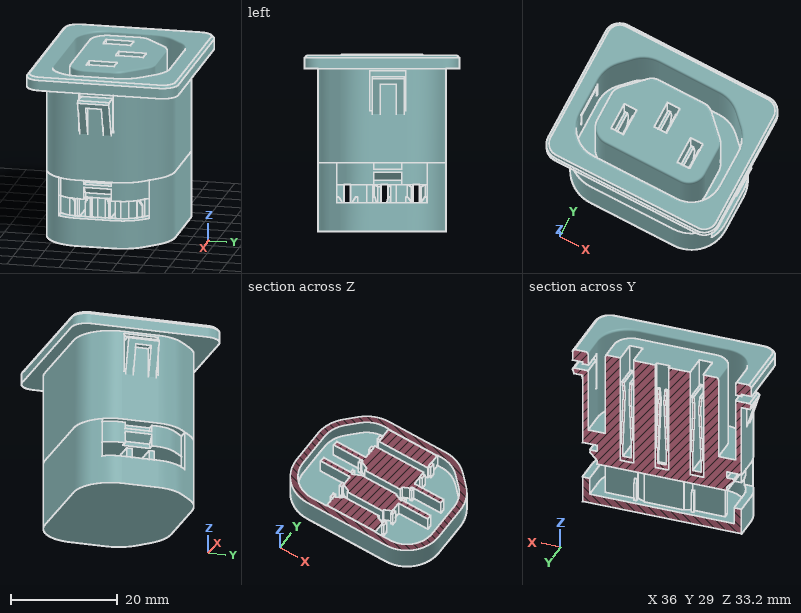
import cadquery as cq

body_length = 32.0
body_width = 24.0
body_lower_radius = 7.2
body_upper_radius = 7.6
body_corner_cut = 6.5
wall = 1.2
flange_length = 36.0
flange_width = 29.0
flange_corner_radius = 3.0
flange_chamfer = 0.5
flange_bottom = 30.5
flange_top = 33.0
split_height = 12.9
recess_floor = 16.0
edge_fillet = 0.5

boss_length = 22.8
boss_width = 15.6
boss_corner_cut = 5.45
boss_lower_radius = 3.5
boss_upper_radius = 2.8
boss_top = 33.2

slot_length = 2.6
slot_width = 5.3
slot_bottom = 10.8
slot_centers = [(-7.0, -2.0), (0.0, 2.0), (7.0, -2.0)]
contact_width = 4.9
contact_top = 28.0
contact_pinch_height = 25.5
contact_base_height = 1.0
contact_straight_top = 14.0
leaf_thickness = 0.5
pinch_gap = 0.65
mouth_gap = 1.1

latch_center_y = -1.15
latch_width = 6.0
latch_top = 28.95
latch_bottom = 22.0
latch_reach = 2.0
latch_edge_chamfer = 0.4
latch_notch_width = 3.0
latch_notch_top = 27.6
window_center_y = -1.05
window_width = 6.7
window_bottom = 22.6
window_top = 30.1

skirt_inset = 1.5
skirt_bottom = 8.8
snap_center_y = -1.1
snap_width = 5.25
snap_depth = 1.4
snap_bar_top = 11.7
snap_bar_bottom = 11.1
snap_ramp_bottom = 9.65

cap_wall = skirt_inset
cap_floor = 2.0
notch_bottom = 5.45
notch_width = 16.9
block_length = 11.0
wire_slot_width = 1.2
wire_slot_centers = [6.5, -0.45, -6.4]
funnel_centers = [-0.2, -6.4]
funnel_mouth_width = 3.3
funnel_throat_width = 1.9
funnel_roof_drop = 0.4
funnel_depth = 1.5
rib_width = 1.05
rib_centers = [2.28, -2.13]
rib_end = 12.05
cradle_thickness = 0.5
cradle_top = 6.5
cradle_ramp_bottom = 5.6
cradle_round = 0.2
cradle_crest = 0.4
cradles = [(6.5, 1.0, 2.0), (0.08, 1.0, 1.65), (-6.4, 1.0, 2.0)]

SIDES = (-1, 1)

pick_margin = 0.1


def box(x_range, y_range, z_range):
    """Box between the given limits along each axis."""
    size = [high - low for low, high in (x_range, y_range, z_range)]
    low_corner = (x_range[0], y_range[0], z_range[0])
    return cq.Workplane("XY").box(*size, centered=False).translate(low_corner)


def span(center, width):
    """Lower and upper limit of a width about a center."""
    return (center - width / 2, center + width / 2)


def cut_corner_prism(length, width, corner_cut, lower_radius, upper_radius, bottom, top):
    """Rounded prism whose two +Y corners are cut off at 45 degrees."""
    x = length / 2
    y = width / 2
    outline = [
        (-x, -y), (x, -y),
        (x, y - corner_cut), (x - corner_cut, y),
        (-x + corner_cut, y), (-x, y - corner_cut),
    ]
    prism = cq.Workplane("XY").workplane(offset=bottom).polyline(outline).close().extrude(top - bottom)
    prism = prism.edges("|Z and <Y").fillet(lower_radius)
    upper_edges = cq.selectors.BoxSelector(
        (-length, y - corner_cut - pick_margin, bottom), (length, width, top)
    )
    return prism.edges("|Z").edges(upper_edges).fillet(upper_radius)


def body_prism(bottom, top):
    """Prism with the full outline of the housing."""
    return cut_corner_prism(
        body_length, body_width, body_corner_cut, body_lower_radius, body_upper_radius, bottom, top
    )


def inset_prism(inset, bottom, top):
    """Prism with the housing outline moved inward by an inset."""
    return (
        body_prism(bottom, top).faces("<Z").wires().toPending()
        .workplane(origin=(0, 0, bottom), invert=True)
        .offset2D(-inset).extrude(top - bottom, combine=False)
    )


def make_shell():
    """Flanged housing shell with the connector recess."""
    flange = (
        cq.Workplane("XY").workplane(offset=flange_bottom)
        .rect(flange_length, flange_width).extrude(flange_top - flange_bottom)
        .edges("|Z").fillet(flange_corner_radius)
        .faces(">Z").edges().chamfer(flange_chamfer)
    )
    shell = body_prism(split_height, flange_top).union(flange)
    shell = shell.cut(inset_prism(wall, recess_floor, flange_top))
    rim = cq.selectors.BoxSelector(
        (-body_length / 2, -body_width / 2, flange_top - pick_margin),
        (body_length / 2, body_width / 2, flange_top + pick_margin),
        boundingbox=True,
    )
    return shell.edges(rim).fillet(edge_fillet)


def make_boss():
    """Plug boss with a rounded top edge."""
    boss = cut_corner_prism(
        boss_length, boss_width, boss_corner_cut, boss_lower_radius, boss_upper_radius, recess_floor, boss_top
    )
    return boss.faces(">Z").edges().fillet(edge_fillet)


def make_latch():
    """Spring latch on the -X wall: an arm in the wall with a notched wedge outside."""
    outer_x = -body_length / 2
    tip_x = outer_x - latch_reach
    inner_x = outer_x + wall
    profile = [
        (inner_x, latch_bottom),
        (outer_x, latch_bottom),
        (tip_x, latch_top - latch_edge_chamfer),
        (tip_x + latch_edge_chamfer, latch_top),
        (inner_x, latch_top),
    ]
    latch = (
        cq.Workplane("XZ").polyline(profile).close().extrude(latch_width / 2, both=True)
        .translate((0, latch_center_y, 0))
    )
    notch = box((tip_x, outer_x), span(latch_center_y, latch_notch_width), (latch_bottom, latch_notch_top))
    return latch.cut(notch)


def make_window():
    """Opening through the -X wall that frees the latch."""
    outer_x = -body_length / 2
    return box((outer_x, outer_x + wall), span(window_center_y, window_width), (window_bottom, window_top))


def make_snap_recesses():
    """Recesses above and below the snap bar on the -X side of the skirt."""
    outer_x = -body_length / 2 + skirt_inset
    inner_x = outer_x + snap_depth
    upper = box((outer_x, inner_x), span(snap_center_y, snap_width), (snap_bar_top, split_height))
    ramp = [
        (outer_x, snap_bar_bottom),
        (inner_x, snap_ramp_bottom),
        (inner_x, skirt_bottom),
        (outer_x, skirt_bottom),
    ]
    lower = (
        cq.Workplane("XZ").polyline(ramp).close().extrude(snap_width / 2, both=True)
        .translate((0, snap_center_y, 0))
    )
    return upper.union(lower)


def make_funnel(y, side):
    """Lead-in of a wire slot: its side walls and its roof close in toward the throat."""
    mouth_x = side * block_length / 2
    throat_x = mouth_x - side * funnel_depth
    plan = [
        (mouth_x, y - funnel_mouth_width / 2),
        (mouth_x, y + funnel_mouth_width / 2),
        (throat_x, y + funnel_throat_width / 2),
        (throat_x, y - funnel_throat_width / 2),
    ]
    elevation = [
        (mouth_x, cap_floor),
        (mouth_x, skirt_bottom),
        (throat_x, skirt_bottom - funnel_roof_drop),
        (throat_x, cap_floor),
    ]
    walls = (
        cq.Workplane("XY").workplane(offset=cap_floor)
        .polyline(plan).close().extrude(skirt_bottom - cap_floor)
    )
    roof = cq.Workplane("XZ").polyline(elevation).close().extrude(body_width / 2, both=True)
    return walls.intersect(roof)


def make_wire_block():
    """Block under the skirt with wire slots along X and a rib at each side of the middle slot."""
    heights = (cap_floor, skirt_bottom)
    half_block = block_length / 2
    block = inset_prism(skirt_inset, *heights).intersect(
        box((-half_block, half_block), (-body_width, body_width), heights)
    )
    for y in wire_slot_centers:
        block = block.cut(box((-half_block, half_block), span(y, wire_slot_width), heights))
    for y in funnel_centers:
        for side in SIDES:
            block = block.cut(make_funnel(y, side))
    for y in rib_centers:
        for x_range in ((-rib_end, -half_block), (half_block, rib_end)):
            block = block.union(box(x_range, span(y, rib_width), heights))
    return block


def make_housing():
    """Complete front housing."""
    housing = make_shell().union(make_boss())
    skirt = inset_prism(skirt_inset, skirt_bottom, split_height)
    window = make_window()
    latch = make_latch()
    recesses = make_snap_recesses()
    for mirrored in (False, True):
        if mirrored:
            window, latch, recesses = (part.mirror("YZ") for part in (window, latch, recesses))
        housing = housing.cut(window).union(latch)
        skirt = skirt.cut(recesses)
    housing = housing.union(skirt).union(make_wire_block())
    for x, y in slot_centers:
        housing = housing.cut(box(span(x, slot_length), span(y, slot_width), (slot_bottom, boss_top)))
    return housing


def make_cradle_post(center_y, gap_half, outer_half, y_side, x_side):
    """One post of a wire cradle, standing against the wire block."""
    profile = [
        (gap_half, cap_floor),
        (gap_half, cradle_ramp_bottom),
        (outer_half - cradle_crest, cradle_top),
        (outer_half, cradle_top),
        (outer_half, cap_floor),
    ]
    points = [(center_y + y_side * y, z) for y, z in profile]
    post = cq.Workplane("YZ").polyline(points).close().extrude(cradle_thickness)
    post = post.faces(">Z").edges("|X").fillet(cradle_round)
    start_x = block_length / 2 if x_side > 0 else -block_length / 2 - cradle_thickness
    return post.translate((start_x, 0, 0))


def make_cap():
    """Rear cap: a cup with a notch in each end wall and wire cradles on its floor."""
    cap = body_prism(0, split_height).cut(inset_prism(cap_wall, cap_floor, split_height))
    notch = box((-body_length, body_length), span(0, notch_width), (notch_bottom, split_height))
    cap = cap.cut(notch)
    for center_y, gap_half, outer_half in cradles:
        for y_side in SIDES:
            for x_side in SIDES:
                cap = cap.union(make_cradle_post(center_y, gap_half, outer_half, y_side, x_side))
    return cap


def make_contact(x, y):
    """Fork contact: two leaves rise from a base, close to a pinch and flare at the mouth."""
    base_top = slot_bottom + contact_base_height
    contact = box(span(0, slot_length), span(0, contact_width), (slot_bottom, base_top))
    for side in SIDES:
        outer = slot_length / 2
        leaf = [
            (outer, slot_bottom),
            (outer, contact_straight_top),
            (pinch_gap / 2 + leaf_thickness, contact_pinch_height),
            (mouth_gap / 2 + leaf_thickness, contact_top),
            (mouth_gap / 2, contact_top),
            (pinch_gap / 2, contact_pinch_height),
            (outer - leaf_thickness, contact_straight_top),
            (outer - leaf_thickness, slot_bottom),
        ]
        points = [(side * px, pz) for px, pz in leaf]
        contact = contact.union(
            cq.Workplane("XZ").polyline(points).close().extrude(contact_width / 2, both=True)
        )
    return contact.translate((x, y, 0))


housing = make_housing()
cap = make_cap()
contacts = [make_contact(x, y) for x, y in slot_centers]

result = cq.Compound.makeCompound(
    [body.solids().val() for body in (housing, cap, *contacts)]
)